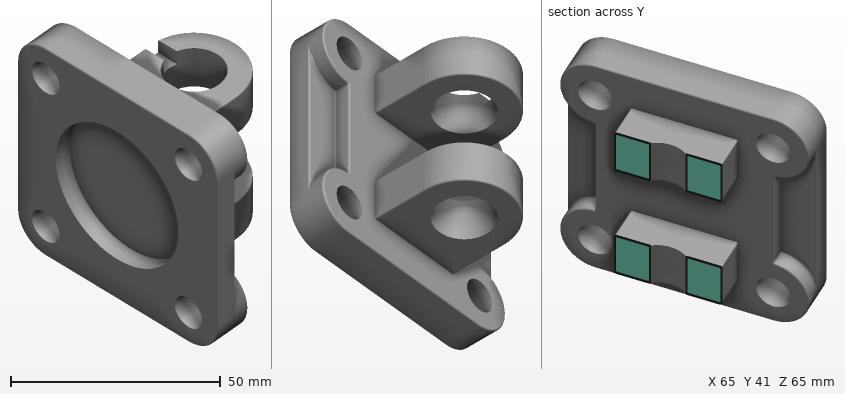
import cadquery as cq

plate_size = 65.0
plate_thickness = 11.0
bolt_pitch = 46.5
bolt_hole_diameter = 9.0
corner_radius = (plate_size - bolt_pitch) / 2
edge_radius = 0.5

recess_diameter = 40.0
recess_depth = 5.0

rim_thickness = 6.5

total_depth = 41.0
lug_width = 28.0
lug_span = 45.0
lug_gap = 21.0
lug_thickness = (lug_span - lug_gap) / 2
lug_radius = lug_width / 2
pin_y = total_depth - lug_radius
pin_diameter = 16.0

slot_width = 4.4
slot_depth = 4.0


def block(width, height, start_y, end_y):
    """Block centred in X and Z between two Y positions."""
    depth = end_y - start_y
    return cq.Workplane("XY").box(width, depth, height).translate((0, start_y + depth / 2, 0))


def bolt_cylinders(diameter, start_y, end_y):
    """One cylinder per bolt position between two Y positions."""
    return (
        cq.Workplane("XZ", origin=(0, start_y, 0))
        .rect(bolt_pitch, bolt_pitch, forConstruction=True)
        .vertices()
        .circle(diameter / 2)
        .extrude(start_y - end_y)
    )


boss_end_z = bolt_pitch / 2 - corner_radius + edge_radius
boss_ends = cq.selectors.BoxSelector(
    (-plate_size / 2, 0, -boss_end_z),
    (plate_size / 2, plate_size, boss_end_z),
)


def make_relief():
    """Empty space of the -X relief, with its floor edge rounded along the wall and bosses."""
    relief = block(bolt_pitch, bolt_pitch, rim_thickness, plate_thickness)
    relief = relief.translate((-bolt_pitch, 0, 0))
    relief = relief.cut(bolt_cylinders(2 * corner_radius, rim_thickness, plate_thickness))
    relief = relief.edges("|Y").edges(boss_ends).fillet(edge_radius)
    wall_and_bosses = cq.selectors.BoxSelector(
        (-plate_size / 2, 0, -bolt_pitch / 2),
        (0, plate_size, bolt_pitch / 2),
    )
    return relief.faces("<Y").edges(wall_and_bosses).fillet(edge_radius)


def make_flange():
    rim = block(plate_size, plate_size, 0, rim_thickness).edges("|Y").fillet(corner_radius)
    rim = rim.faces("<Y or >Y").edges().fillet(edge_radius)

    core_start = rim_thickness / 2
    core = block(bolt_pitch, plate_size, core_start, plate_thickness)
    rear = core.union(bolt_cylinders(2 * corner_radius, core_start, plate_thickness))
    rear = rear.edges("|Y").edges(boss_ends).fillet(edge_radius)
    rear = rear.faces(">Y").edges().fillet(edge_radius)

    foot_width = plate_size - 2 * edge_radius
    foot = block(foot_width, bolt_pitch, rim_thickness - edge_radius, rim_thickness + edge_radius)
    relief = make_relief()
    foot = foot.cut(relief).cut(relief.mirror("YZ"))
    return rim.union(rear).union(foot)


def make_lug(bottom_z):
    lug = (
        cq.Workplane("XY", origin=(0, 0, bottom_z))
        .moveTo(-lug_radius, rim_thickness)
        .lineTo(-lug_radius, pin_y)
        .threePointArc((0, total_depth), (lug_radius, pin_y))
        .lineTo(lug_radius, rim_thickness)
        .close()
        .extrude(lug_thickness)
    )
    return lug.faces("<Z or >Z").edges("not <Y").fillet(edge_radius)


flange = make_flange()
upper_lug = make_lug(lug_gap / 2)
lower_lug = make_lug(-lug_span / 2)

recess = cq.Workplane("XZ").circle(recess_diameter / 2).extrude(-recess_depth)
bolt_holes = bolt_cylinders(bolt_hole_diameter, 0, plate_thickness)
pin_bore = cq.Workplane("XY", origin=(0, pin_y, -lug_span / 2)).circle(pin_diameter / 2).extrude(lug_span)

slot = cq.Workplane("XY").box(lug_radius, slot_width, slot_depth).translate(
    (-lug_radius / 2, pin_y, lug_span / 2 - slot_depth / 2)
)

result = flange.union(upper_lug).union(lower_lug).cut(recess).cut(bolt_holes).cut(pin_bore).cut(slot)